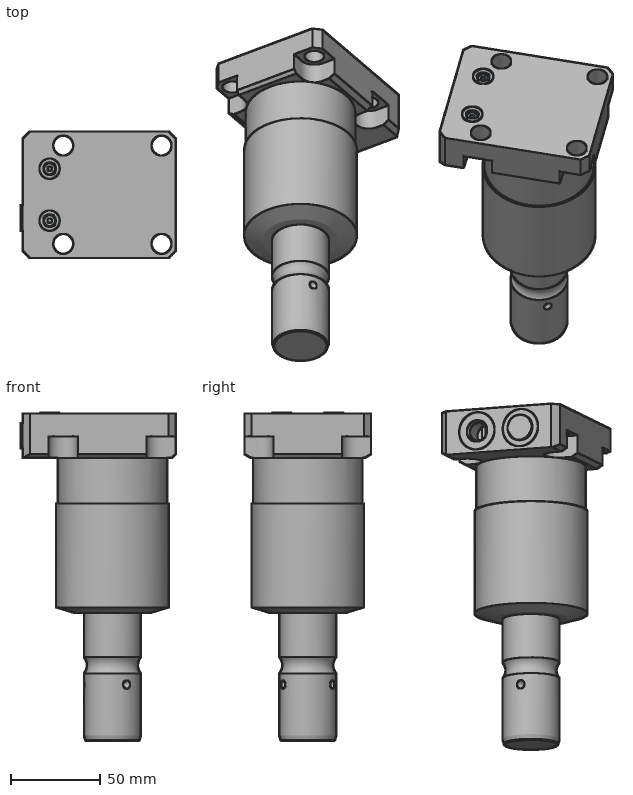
import cadquery as cq
import math


block_width = 70.9
block_length = 85.6
block_height = 24.8
block_right = block_width / 2
block_left = block_right - block_length
corner_chamfer = 4.0
rim_chamfer_height = 2.0
rim_chamfer_width = 3.5

hole_pitch = 55.0
hole_diameter = 11.0
ledge_thickness = 12.9
clearance_radius = 8.3

port_offset = 13.0
port_z = -block_height / 2
spotface_diameter = 21.1
spotface_depth = 0.4
port_mouth_diameter = 12.5
port_bore_diameter = 10.3
port_mouth_depth = 2.8
port_depth = 14.3
plug_diameter = 14.3
plug_height = 1.1

top_port_inset = 15.0
top_port_x = block_left + top_port_inset
top_port_offset = 14.5
seal_height = 0.5
seal_tube_radius = 1.1
seal_outer_radius = 5.7
seal_recess_depth = 1.5
counterbore_diameter = 6.2
counterbore_depth = 2.2
feed_diameter = 2.5
feed_depth = 14.7

neck_radius = 30.7
body_radius = 31.6
body_top = -50.3
body_taper_top = -108.4
body_bottom = -111.7
body_end_radius = 21.0
rod_radius = 16.0
rod_bottom = seal_height - 183.7
rod_taper_height = 3.0
rod_taper_inset = 0.7
rod_end_chamfer = 0.5

groove_top = -136.3
groove_bottom = -145.3
groove_depth = 1.7
dimple_z = -151.5
dimple_depth = 2.4
dimple_count = 3


def make_block():
    """Block with its lower rim chamfered on both Y sides and +X, then its upright corners cut off."""
    half_width = block_width / 2
    foot_half_width = half_width - rim_chamfer_width
    rim_z = rim_chamfer_height - block_height
    bar = (
        cq.Workplane("YZ", origin=(block_left, 0, 0))
        .polyline([
            (-half_width, 0),
            (half_width, 0),
            (half_width, rim_z),
            (foot_half_width, -block_height),
            (-foot_half_width, -block_height),
            (-half_width, rim_z),
        ])
        .close()
        .extrude(block_length)
        .faces("<Z")
        .edges(">X")
        .chamfer(rim_chamfer_height)
    )
    corner_envelope = (
        cq.Workplane("XY", origin=(block_left + block_length / 2, 0, 0))
        .rect(block_length, block_width)
        .extrude(-block_height)
        .edges("|Z")
        .chamfer(corner_chamfer)
    )
    return bar.intersect(corner_envelope)


def bolt_clearance(x, side, open_to_right):
    """Round-ended cut around a bolt, open to one Y side and optionally also to +X."""
    depth = block_height - ledge_thickness
    base = cq.Workplane("XY", origin=(x, side * hole_pitch / 2, -block_height))
    cut = base.circle(clearance_radius).extrude(depth)
    square_shifts = [(0, side)]
    if open_to_right:
        square_shifts += [(1, 0), (1, side)]
    for shift_x, shift_y in square_shifts:
        square = (
            base.center(shift_x * clearance_radius, shift_y * clearance_radius)
            .rect(2 * clearance_radius, 2 * clearance_radius)
            .extrude(depth)
        )
        cut = cut.union(square)
    return cut


def make_cylinder():
    """Neck, tapered body and grooved rod as one revolved profile."""
    return (
        cq.Workplane("XZ")
        .moveTo(0, -block_height)
        .lineTo(neck_radius, -block_height)
        .lineTo(neck_radius, body_top)
        .lineTo(body_radius, body_top)
        .lineTo(body_radius, body_taper_top)
        .lineTo(body_end_radius, body_bottom)
        .lineTo(rod_radius, body_bottom)
        .lineTo(rod_radius, groove_top)
        .threePointArc(
            (rod_radius - groove_depth, (groove_top + groove_bottom) / 2),
            (rod_radius, groove_bottom),
        )
        .lineTo(rod_radius, rod_bottom + rod_taper_height)
        .lineTo(rod_radius - rod_taper_inset, rod_bottom + rod_end_chamfer)
        .lineTo(rod_radius - rod_taper_inset - rod_end_chamfer, rod_bottom)
        .lineTo(0, rod_bottom)
        .close()
        .revolve(360, (0, 0, 0), (0, 1, 0))
    )


def side_disc(y, diameter, start, length):
    """Disc along X that starts a given depth inside the -X face and runs inward."""
    plane = cq.Plane(origin=(block_left + start, y, port_z), xDir=(0, 1, 0), normal=(1, 0, 0))
    return cq.Workplane(plane).circle(diameter / 2).extrude(length)


def make_port_mouth():
    """Conical mouth of the open port, narrowing inward to the bore."""
    return cq.Workplane(
        cq.Solid.makeCone(
            port_mouth_diameter / 2,
            port_bore_diameter / 2,
            port_mouth_depth,
            cq.Vector(block_left, port_offset, port_z),
            cq.Vector(1, 0, 0),
        )
    )


def make_seal(y):
    center_radius = seal_outer_radius - seal_tube_radius
    ring = cq.Solid.makeTorus(center_radius, seal_tube_radius)
    return cq.Workplane(ring).translate((top_port_x, y, seal_height - seal_tube_radius))


def rod_dimple(angle):
    """90 degree cone whose tip lies at the dimple depth below the rod surface."""
    outward = cq.Vector(math.cos(angle), math.sin(angle), 0)
    height = 2 * dimple_depth
    tip = outward * (rod_radius - dimple_depth) + cq.Vector(0, 0, dimple_z)
    return cq.Workplane(cq.Solid.makeCone(0, height, height, tip, outward))


result = make_block()

for side in (-1, 1):
    for end in (-1, 1):
        x = end * hole_pitch / 2
        bolt_hole = (
            cq.Workplane("XY", origin=(x, side * hole_pitch / 2, -block_height))
            .circle(hole_diameter / 2)
            .extrude(block_height)
        )
        result = result.cut(bolt_hole).cut(bolt_clearance(x, side, end > 0))

result = result.union(make_cylinder())

for y in (port_offset, -port_offset):
    result = result.cut(side_disc(y, spotface_diameter, 0, spotface_depth))
result = result.cut(make_port_mouth())
result = result.cut(side_disc(port_offset, port_bore_diameter, 0, port_depth))
result = result.union(side_disc(-port_offset, plug_diameter, -plug_height, plug_height + spotface_depth))

for y in (top_port_offset, -top_port_offset):
    top = cq.Workplane("XY", origin=(top_port_x, y, 0))
    result = result.cut(top.circle(seal_outer_radius).extrude(-seal_recess_depth))
    result = result.cut(top.circle(counterbore_diameter / 2).extrude(-counterbore_depth))
    result = result.cut(top.circle(feed_diameter / 2).extrude(-feed_depth))
    result = result.union(make_seal(y))

for index in range(dimple_count):
    result = result.cut(rod_dimple(math.pi + index * 2 * math.pi / dimple_count))